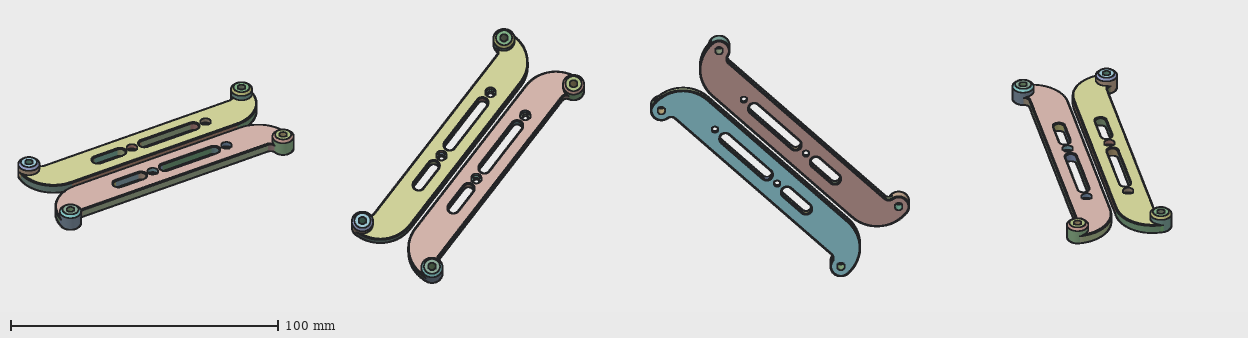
import cadquery as cq
import math

length = 99.0
total_width = 40.0
boss_height = 7.0
plate_thickness = 4.0
plate_gap = 2.0
edge_chamfer = 0.4

boss_diameter = 8.0
boss_hole_diameter = 2.9
boss_chamfer = 1.0
boss_offset = 1.0
boss_blend_radius = 2.0

screw_diameter = 2.4
screw_head_diameter = 4.0
screw_floor = 2.0
screw_positions = [25.6, -5.8]
slot_width = 4.0
slot_spans = [(-2.6, 22.4), (-22.5, -8.9)]

boss_radius = boss_diameter / 2
boss_x = boss_radius - total_width / 2
outer_x = boss_x + boss_offset
inner_x = -plate_gap / 2
middle_x = (inner_x + outer_x) / 2
plate_width = inner_x - outer_x
boss_y = length / 2 - boss_radius
boss_places = [(boss_x, boss_y), (boss_x, -boss_y)]


def arm_plate():
    """Flat plate with rounded inner corners, blended into the boss outlines."""
    end_y = length / 2
    corner_y = end_y - plate_width
    corner_mid_x = outer_x + plate_width * math.sqrt(0.5)
    corner_mid_y = corner_y + plate_width * math.sqrt(0.5)

    blend_x = outer_x - boss_blend_radius
    center_distance = boss_radius + boss_blend_radius
    blend_y = boss_y - math.sqrt(center_distance**2 - (boss_x - blend_x) ** 2)
    touch_angle = math.atan2(boss_y - blend_y, boss_x - blend_x)
    touch_x = blend_x + boss_blend_radius * math.cos(touch_angle)
    touch_y = blend_y + boss_blend_radius * math.sin(touch_angle)
    blend_mid_x = blend_x + boss_blend_radius * math.cos(touch_angle / 2)
    blend_mid_y = blend_y + boss_blend_radius * math.sin(touch_angle / 2)
    boss_outer_x = boss_x - boss_radius

    return (
        cq.Workplane("XY")
        .moveTo(inner_x, -corner_y)
        .lineTo(inner_x, corner_y)
        .threePointArc((corner_mid_x, corner_mid_y), (outer_x, end_y))
        .lineTo(boss_x, end_y)
        .threePointArc((boss_outer_x, boss_y), (touch_x, touch_y))
        .threePointArc((blend_mid_x, blend_mid_y), (outer_x, blend_y))
        .lineTo(outer_x, -blend_y)
        .threePointArc((blend_mid_x, -blend_mid_y), (touch_x, -touch_y))
        .threePointArc((boss_outer_x, -boss_y), (boss_x, -end_y))
        .lineTo(outer_x, -end_y)
        .threePointArc((corner_mid_x, -corner_mid_y), (inner_x, -corner_y))
        .close()
        .extrude(plate_thickness)
    )


def cut_slots(plate):
    """Cut the round-ended slots through the plate."""
    for lower_y, upper_y in slot_spans:
        plate = (
            plate.faces("<Z").workplane(origin=(middle_x, (lower_y + upper_y) / 2, 0))
            .slot2D(upper_y - lower_y, slot_width, 90)
            .cutThruAll()
        )
    return plate


def add_bosses(plate):
    """Join a chamfered boss to each end of the plate."""
    bosses = (
        cq.Workplane("XY")
        .pushPoints(boss_places)
        .circle(boss_radius)
        .extrude(boss_height)
        .faces(">Z").chamfer(boss_chamfer)
        .faces("<Z").chamfer(edge_chamfer)
    )
    return plate.union(bosses)


def drill(body, places, diameter, bottom):
    """Cut round holes from the given bottom height up through the top."""
    drills = (
        cq.Workplane("XY", origin=(0, 0, bottom))
        .pushPoints(places)
        .circle(diameter / 2)
        .extrude(boss_height)
    )
    return body.cut(drills)


def make_arm():
    """The complete arm on the -X side."""
    arm = cut_slots(arm_plate())
    arm = arm.faces("<Z or >Z").chamfer(edge_chamfer)
    arm = add_bosses(arm)
    screw_places = [(middle_x, y) for y in screw_positions]
    arm = drill(arm, boss_places, boss_hole_diameter, 0)
    arm = drill(arm, screw_places, screw_diameter, 0)
    return drill(arm, screw_places, screw_head_diameter, screw_floor)


left_arm = make_arm()
right_arm = left_arm.mirror("YZ")

result = cq.Compound.makeCompound([left_arm.val(), right_arm.val()])